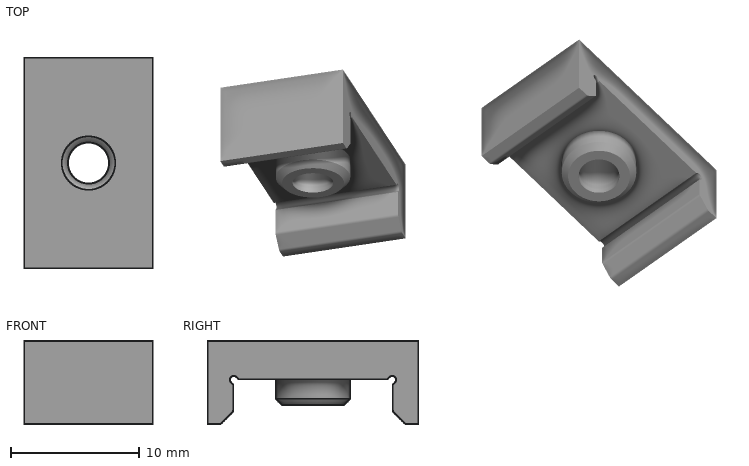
import cadquery as cq
import math

width = 10.0
length = 16.4
height = 6.5

leg_thickness = 2.0
plate_thickness = 3.0
leg_chamfer = 1.0
leg_edge_radius = 0.3

relief_radius = 0.3
relief_inset = 0.03

boss_diameter = 5.8
boss_height = 2.0
boss_chamfer = 0.5
hole_diameter = 3.18
countersink_diameter = 4.17
countersink_angle = 90.0

ceiling_z = height - plate_thickness
leg_face_y = length / 2 - leg_thickness


def channel_body():
    """Block with a channel along X and chamfered, rounded leg tips."""
    outer_y = length / 2
    tip_y = leg_face_y + leg_chamfer
    profile = [
        (-outer_y, 0),
        (-tip_y, 0),
        (-leg_face_y, leg_chamfer),
        (-leg_face_y, ceiling_z),
        (leg_face_y, ceiling_z),
        (leg_face_y, leg_chamfer),
        (tip_y, 0),
        (outer_y, 0),
        (outer_y, height),
        (-outer_y, height),
    ]
    body = cq.Workplane("YZ").polyline(profile).close().extrude(width / 2, both=True)
    tip_corners = [(side * y, z) for side in (-1, 1) for y, z in ((tip_y, 0), (leg_face_y, leg_chamfer))]
    for y, z in tip_corners:
        body = body.edges(cq.selectors.NearestToPointSelector((0, y, z))).fillet(leg_edge_radius)
    return body


def corner_relief(side):
    """Round-ended groove at the inner corner of the leg on the given Y side."""
    center_y = leg_face_y - relief_inset
    center_z = ceiling_z - relief_inset
    offset = relief_radius * math.sqrt(0.5)
    run_out = 2 * relief_radius
    return (
        cq.Workplane("YZ")
        .moveTo(side * (center_y - offset), center_z + offset)
        .threePointArc(
            (side * (center_y + offset), center_z + offset),
            (side * (center_y + offset), center_z - offset),
        )
        .lineTo(side * (center_y + offset - run_out), center_z - offset - run_out)
        .lineTo(side * (center_y - offset - run_out), center_z + offset - run_out)
        .close()
        .extrude(width / 2, both=True)
    )


def boss():
    """Cylindrical boss hanging from the channel ceiling, chamfered at its free end."""
    return (
        cq.Workplane("XY", origin=(0, 0, ceiling_z))
        .circle(boss_diameter / 2)
        .extrude(-boss_height)
        .faces("<Z")
        .chamfer(boss_chamfer)
    )


result = channel_body()
for y_side in (-1, 1):
    result = result.cut(corner_relief(y_side))
result = (
    result.union(boss())
    .faces(">Z")
    .workplane(origin=(0, 0, height))
    .cskHole(hole_diameter, countersink_diameter, countersink_angle)
)